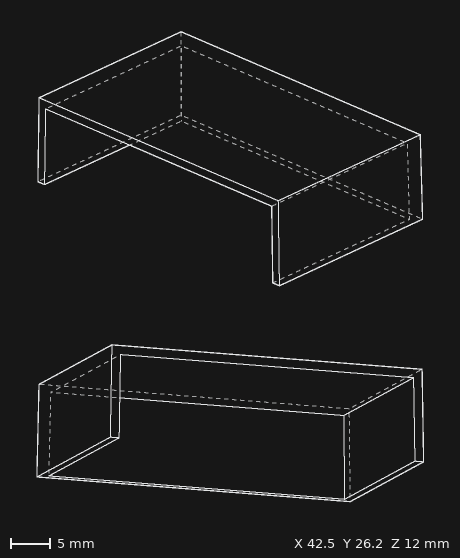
import cadquery as cq
import math

length = 42.5
depth = 26.2
height = 12.0
wall = 1.2
draft_angle = 1.0

draft = math.tan(math.radians(draft_angle))

front_y = -depth / 2
back_y = depth / 2


def drafted_block(inset, block_height):
    """Block with a vertical front face whose sides and back taper upward.

    The inset moves the sides and back inward; the front stays on the front plane.
    """

    def plan(z):
        half_length = length / 2 - inset - draft * z
        rear_y = back_y - inset - draft * z
        return [
            (-half_length, front_y),
            (half_length, front_y),
            (half_length, rear_y),
            (-half_length, rear_y),
        ]

    return (
        cq.Workplane("XY")
        .polyline(plan(0))
        .close()
        .workplane(offset=block_height)
        .polyline(plan(block_height))
        .close()
        .loft(ruled=True)
    )


outside = drafted_block(0, height)
cavity = drafted_block(wall, height - wall)
result = outside.cut(cavity)